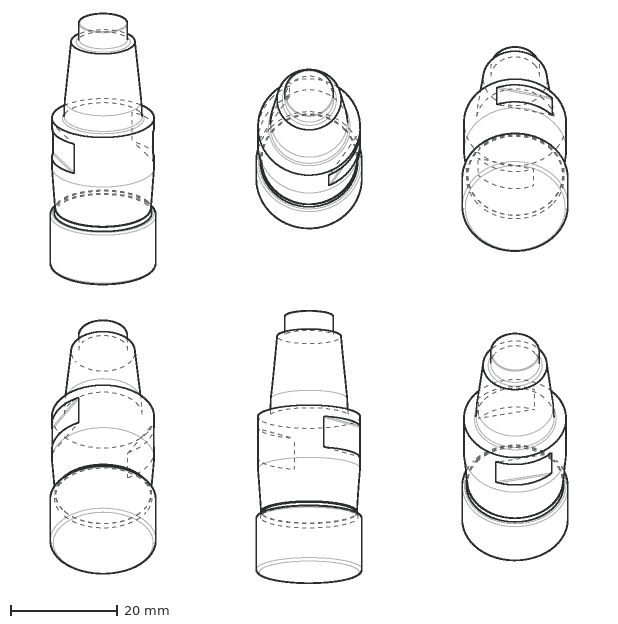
import cadquery as cq

total_height = 49.5
cap_shoulder_z = 10.7
joint_z = 11.5
taper_top_z = 20.0
body_shoulder_z = 30.05
nose_break_z = 33.5
nose_top_z = 45.6

cap_radius = 19.95 / 2
cap_top_fillet = 0.4
cap_bottom_fillet = 0.55
collar_top_radius = 8.95
collar_base_radius = 9.2

body_radius = 19.3 / 2
body_bottom_radius = 9.05
body_edge_chamfer = 0.15
nose_base_radius = 7.4
nose_break_radius = 7.25
nose_top_radius = 6.05
tip_radius = 9.2 / 2
tip_edge_radius = 0.15
nose_root_fillet = 0.35
tip_root_fillet = 0.5

flat_distance = 8.0
flat_bottom_z = 22.05
flat_top_z = 28.0
flat_corner_radius = 0.2

selection_margin = 0.05


def ring_edges(radius, z):
    """Selector for circular edges at height z with no more than the given radius."""
    reach = radius + selection_margin
    return cq.selectors.BoxSelector(
        (-reach, -reach, z - selection_margin), (reach, reach, z + selection_margin), boundingbox=True
    )


def make_cap():
    """Round cap with rounded edges and a short collar flaring into its shoulder."""
    profile = (
        cq.Workplane("XZ")
        .lineTo(cap_radius, 0)
        .lineTo(cap_radius, cap_shoulder_z)
        .lineTo(collar_base_radius, cap_shoulder_z)
        .lineTo(collar_top_radius, joint_z)
        .lineTo(0, joint_z)
        .close()
    )
    cap = profile.revolve(360, (0, 0), (0, 1))
    cap = cap.faces("<Z").edges().fillet(cap_bottom_fillet)
    collar_base = ring_edges(collar_base_radius, cap_shoulder_z)
    rim = ring_edges(cap_radius, cap_shoulder_z) - collar_base
    return cap.edges(rim).fillet(cap_top_fillet)


def make_turned_body():
    """Tapered skirt, cylinder, two-stage conical nose and round tip, turned about Z."""
    profile = (
        cq.Workplane("XZ")
        .moveTo(0, joint_z)
        .lineTo(body_bottom_radius - body_edge_chamfer, joint_z)
        .lineTo(body_bottom_radius, joint_z + body_edge_chamfer)
        .lineTo(body_radius, taper_top_z)
        .lineTo(body_radius, body_shoulder_z)
        .lineTo(nose_base_radius, body_shoulder_z)
        .lineTo(nose_break_radius, nose_break_z)
        .lineTo(nose_top_radius, nose_top_z)
        .lineTo(tip_radius, nose_top_z)
        .lineTo(tip_radius, total_height)
        .lineTo(0, total_height)
        .close()
    )
    body = profile.revolve(360, (0, 0), (0, 1))
    body = body.faces(">Z").edges().fillet(tip_edge_radius)
    body = body.edges(ring_edges(tip_radius, nose_top_z)).fillet(tip_root_fillet)
    return body.edges(ring_edges(nose_base_radius, body_shoulder_z)).fillet(nose_root_fillet)


def make_flat_cutter(side):
    """Block that leaves a wrench flat with rounded inner corners; side is -1 or +1 along Y."""
    depth = body_radius - flat_distance
    height = flat_top_z - flat_bottom_z
    block = cq.Workplane("XY").box(2 * body_radius, 2 * depth, height)
    inner_face = "<Y" if side > 0 else ">Y"
    block = block.faces(inner_face).edges("|X").fillet(flat_corner_radius)
    return block.translate((0, side * (flat_distance + depth), flat_bottom_z + height / 2))


def make_body():
    """Turned body with a wrench flat on each side."""
    body = make_turned_body()
    for side in (-1, 1):
        body = body.cut(make_flat_cutter(side))
    return body


cap = make_cap()
body = make_body()
result = cq.Compound.makeCompound([cap.val(), body.val()])